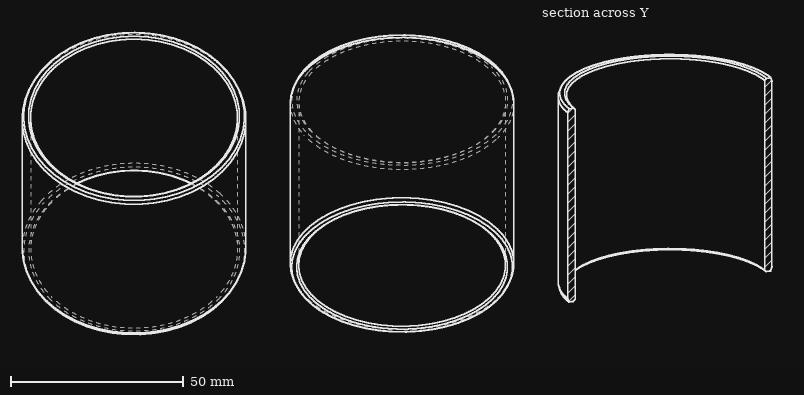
import math

import cadquery as cq

outer_diameter = 65.0
wall_thickness = 2.46
length = 60.0
lead_in_length = 1.2
lead_in_angle = 20.0
bore_chamfer = 0.6

outer_radius = outer_diameter / 2
bore_radius = outer_radius - wall_thickness
half_length = length / 2
lead_in_depth = lead_in_length * math.tan(math.radians(lead_in_angle))


def wall_section():
    """Half section of the sleeve wall, chamfered at both ends inside and outside."""
    outer_face_edge = outer_radius - lead_in_depth
    bore_face_edge = bore_radius + bore_chamfer
    outer_shoulder = half_length - lead_in_length
    bore_shoulder = half_length - bore_chamfer
    return (
        cq.Workplane("XZ")
        .moveTo(bore_radius, -bore_shoulder)
        .lineTo(bore_face_edge, -half_length)
        .lineTo(outer_face_edge, -half_length)
        .lineTo(outer_radius, -outer_shoulder)
        .lineTo(outer_radius, outer_shoulder)
        .lineTo(outer_face_edge, half_length)
        .lineTo(bore_face_edge, half_length)
        .lineTo(bore_radius, bore_shoulder)
        .close()
    )


result = wall_section().revolve(360, (0, 0, 0), (0, 1, 0))